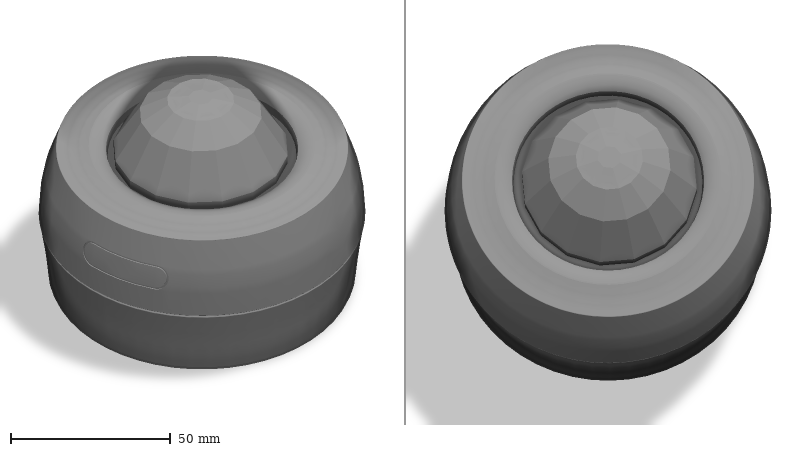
import cadquery as cq
import math

foot_radius = 47.7
foot_height = 1.2
base_bottom_radius = 48.2
base_waist_radius = 49.4
base_top_radius = 51.0
base_top_z = 23.9
base_edge_fillet = 0.4
neck_radius = 48.1

housing_radius = 51.2
housing_bottom_z = 24.4
wall_arc_radius = 66.2
wall_top_z = 50.7
housing_edge_fillet = 0.3
crest_outer_radius = 35.5
crest_inner_radius = 35.0
crest_z = 52.0
top_sag = 0.4
funnel_radius = 30.1
funnel_bottom_z = 50.4
funnel_bulge = 0.4
floor_radius = 29.6
floor_z = 47.8

badge_length = 30.9
badge_height = 8.4
badge_z = 37.2
groove_width = 0.6
groove_depth = 0.3

lens_x = -0.3
lens_y = -0.3
lens_turn = -0.6
lens_sides = 16
skirt_radius = 27.6
skirt_top_z = 50.9
shoulder_radius = 19.3
shoulder_z = 64.9
cap_radius = 10.5
cap_z = 70.3
tip_radius = 3.8
tip_z = 71.3


def wall_radius(z):
    """Outer radius of the housing wall at height z."""
    rise = z - housing_bottom_z
    return housing_radius - wall_arc_radius + math.sqrt(wall_arc_radius**2 - rise**2)


def make_base():
    waist_z = (foot_height + base_top_z) / 2
    profile = (
        cq.Workplane("XZ")
        .lineTo(foot_radius, 0)
        .lineTo(foot_radius, foot_height)
        .lineTo(base_bottom_radius, foot_height)
        .threePointArc((base_waist_radius, waist_z), (base_top_radius, base_top_z))
        .lineTo(0, base_top_z)
        .close()
    )
    body = profile.revolve(360, (0, 0), (0, 1)).faces(">Z").edges().fillet(base_edge_fillet)
    neck = (
        cq.Workplane("XY", origin=(0, 0, base_top_z))
        .circle(neck_radius)
        .extrude(housing_bottom_z - base_top_z)
    )
    return body.union(neck)


def housing_blank(inset):
    """Housing outline without its opening, with the wall moved inward by inset."""
    wall_middle_z = (housing_bottom_z + wall_top_z) / 2
    wall_middle = (wall_radius(wall_middle_z) - inset, wall_middle_z)
    rim_radius = wall_radius(wall_top_z) - inset
    top_middle = (
        (rim_radius + crest_outer_radius) / 2,
        (wall_top_z + crest_z) / 2 - top_sag,
    )
    return (
        cq.Workplane("XZ")
        .moveTo(0, housing_bottom_z)
        .lineTo(housing_radius - inset, housing_bottom_z)
        .threePointArc(wall_middle, (rim_radius, wall_top_z))
        .threePointArc(top_middle, (crest_outer_radius, crest_z))
        .lineTo(0, crest_z)
        .close()
        .revolve(360, (0, 0), (0, 1))
    )


def lens_opening():
    """Funnel with a convex side that narrows to a short tapered wall and a flat floor."""
    funnel_middle = (
        (funnel_radius + crest_inner_radius) / 2,
        (funnel_bottom_z + crest_z) / 2 + funnel_bulge,
    )
    return (
        cq.Workplane("XZ")
        .moveTo(0, floor_z)
        .lineTo(floor_radius, floor_z)
        .lineTo(funnel_radius, funnel_bottom_z)
        .threePointArc(funnel_middle, (crest_inner_radius, crest_z))
        .lineTo(0, crest_z)
        .close()
        .revolve(360, (0, 0), (0, 1))
    )


def badge_groove():
    """Stadium ring, cut to an even depth below the housing wall."""
    stadium = cq.Workplane("XZ", origin=(0, 0, badge_z))
    inner_length = badge_length - 2 * groove_width
    inner_height = badge_height - 2 * groove_width
    outer = stadium.slot2D(badge_length, badge_height).extrude(housing_radius)
    inner = stadium.slot2D(inner_length, inner_height).extrude(housing_radius)
    return outer.cut(inner).cut(housing_blank(groove_depth))


def make_housing():
    body = housing_blank(0)
    rim_centre = (0, 0, wall_top_z)
    body = body.edges(cq.selectors.NearestToPointSelector(rim_centre)).fillet(housing_edge_fillet)
    body = body.faces("<Z").edges().fillet(housing_edge_fillet)
    return body.cut(lens_opening()).cut(badge_groove())


def ring_points(radius, z, count, first_angle):
    """Corners of a regular polygon centred on the lens axis."""
    angles = [math.radians(first_angle + 360 / count * i) for i in range(count)]
    return [cq.Vector(radius * math.cos(a), radius * math.sin(a), z) for a in angles]


def polygon_face(points):
    return cq.Face.makeFromWires(cq.Wire.makePolygon(points, close=True))


def curved_face(points):
    """Smooth face across straight edges whose corners do not lie in one plane."""
    ends = points[1:] + points[:1]
    sides = [cq.Edge.makeLine(start, end) for start, end in zip(points, ends)]
    return cq.Face.makeNSidedSurface(sides, [])


def make_lens():
    step = 360 / lens_sides
    ring_sizes = [
        (skirt_radius, floor_z),
        (skirt_radius, skirt_top_z),
        (shoulder_radius, shoulder_z),
        (cap_radius, cap_z),
    ]
    rings = [ring_points(radius, z, lens_sides, 0) for radius, z in ring_sizes]
    tip_sides = lens_sides // 2
    tip = ring_points(tip_radius, tip_z, tip_sides, -step)
    cap = rings[-1]

    faces = [polygon_face(rings[0]), polygon_face(tip)]
    for lower, upper in zip(rings, rings[1:]):
        for i in range(lens_sides):
            faces.append(polygon_face([lower[i - 1], lower[i], upper[i], upper[i - 1]]))
    for i in range(tip_sides):
        low = [cap[2 * i - 1], cap[2 * i], cap[2 * i + 1]]
        faces.append(curved_face(low + [tip[(i + 1) % tip_sides], tip[i]]))

    solid = cq.Solid.makeSolid(cq.Shell.makeShell(faces))
    turned = solid.rotate(cq.Vector(0, 0, 0), cq.Vector(0, 0, 1), lens_turn)
    return turned.translate(cq.Vector(lens_x, lens_y, 0))


base = make_base()
housing = make_housing()
lens = make_lens()

result = cq.Compound.makeCompound([base.solids().val(), housing.solids().val(), lens])